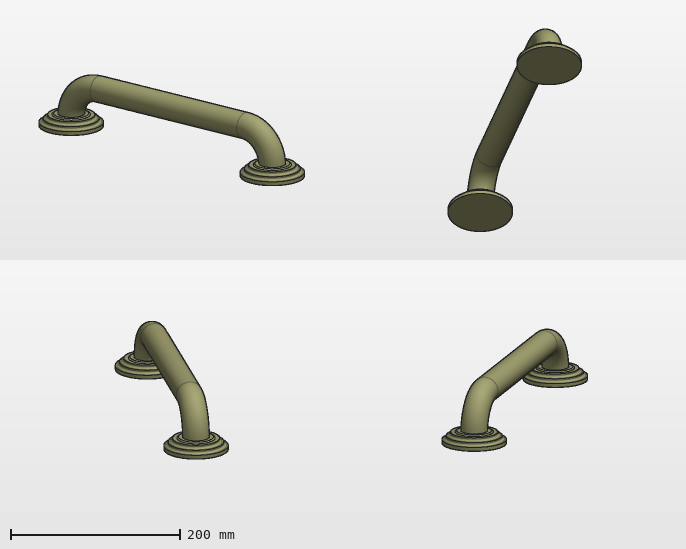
import cadquery as cq

mount_spacing = 304.8
overall_height = 69.85

rail_diameter = 31.75
bend_radius = 41.275
rail_axis_height = overall_height - rail_diameter / 2
socket_floor = rail_axis_height - bend_radius

base_radius = 38.1
base_height = 4.7625
step_width = 5.08
cove_radius = 3.0
step_rim_height = 1.5875
hub_bottom_radius = 22.6
hub_top_radius = 20.7
hub_height = 1.4

lower_step_radius = base_radius - step_width
upper_step_radius = lower_step_radius - step_width
step_height = cove_radius + step_rim_height
lower_step_top = base_height + step_height
upper_step_top = lower_step_top + step_height
flange_height = upper_step_top + hub_height


def add_coved_step(profile, step_radius, floor_height):
    """Continue the profile along a floor, up a concave quarter round and up the rim above it."""
    return (
        profile.lineTo(step_radius + cove_radius, floor_height)
        .radiusArc((step_radius, floor_height + cove_radius), cove_radius)
        .lineTo(step_radius, floor_height + step_height)
    )


def make_rail():
    """Bar swept up out of one flange socket, around both bends and down into the other socket."""
    start = (-mount_spacing / 2, 0, socket_floor)
    path = (
        cq.Workplane("XZ", origin=start)
        .radiusArc((bend_radius, bend_radius), bend_radius)
        .lineTo(mount_spacing - bend_radius, bend_radius)
        .radiusArc((mount_spacing, 0), bend_radius)
    )
    return cq.Workplane("XY", origin=start).circle(rail_diameter / 2).sweep(path)


def make_flange(center_x, seated_rail):
    """Turned flange standing on Z = 0 at the given X, with a socket fitting the end of the rail."""
    profile = cq.Workplane("XZ").lineTo(base_radius, 0).lineTo(base_radius, base_height)
    profile = add_coved_step(profile, lower_step_radius, base_height)
    profile = add_coved_step(profile, upper_step_radius, lower_step_top)
    profile = (
        profile.lineTo(hub_bottom_radius, upper_step_top)
        .lineTo(hub_top_radius, flange_height)
        .lineTo(0, flange_height)
        .close()
    )
    flange = profile.revolve(360, (0, 0, 0), (0, 1, 0)).translate((center_x, 0, 0))
    return flange.cut(seated_rail).solids()


rail = make_rail()
flanges = [make_flange(side * mount_spacing / 2, rail) for side in (-1, 1)]

result = cq.Compound.makeCompound([rail.val(), *[flange.val() for flange in flanges]])